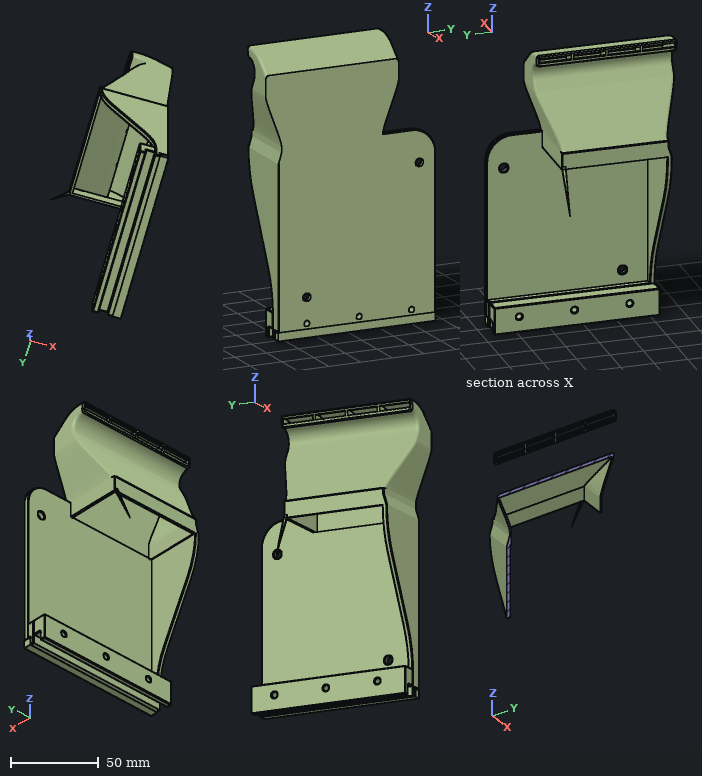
import cadquery as cq
import math


EDGE = 0.5

PLATE_LENGTH = 99.25
PLATE_THICKNESS = 3.6
PLATE_TOP = 116.0
PLATE_CORNER_RADIUS = 15.0
FOOT_LENGTH = 99.0
FOOT_DEPTH = 7.7
FOOT_BOTTOM = 1.0
FOOT_TOP = 16.5

FAN_HOLE_DIAMETER = 4.8
FAN_HOLE_SPACING = 71.0
FAN_HOLE_Y = 18.0
FAN_HOLE_Z = 25.0

RAIL_DEPTH = 9.3
RAIL_LIP = 3.6
RAIL_SLOT_TOP = 6.3
RAIL_HOLE_DIAMETER = 3.4
RAIL_HOLE_SPACING = 33.0
RAIL_HOLE_FIRST_Y = 18.0
RAIL_HOLE_Z = 9.5
RAIL_HOLE_COUNT = 3

BAR_DEPTH = 5.0
BAR_TOP = 6.2

WALL_THICKNESS = 3.0
WALL_CURVE_RADIUS = 60.0
WALL_CURVE_BOTTOM = 14.0

SHELF_DEPTH = 40.0
SHELF_BOTTOM = 106.0
FLARE_TOP = 112.5
NECK_START = 2.0
NECK_END = 66.0

NOZZLE_START = -8.0
NOZZLE_END = 76.0
NOZZLE_TOP = 171.0
NOZZLE_EDGE_RADIUS = 2.0
NECK_TOP = 147.1
NECK_CURVE_PULL = 5.0
NECK_TOP_X = -20.3
CROWN_START_X = -21.0
CROWN_RADIUS = 19.5
CROWN_ANGLE = math.radians(40)
HOOK_RADIUS = 7.1
HOOK_CENTRE_X = -23.2
HOOK_CENTRE_Z = 156.6
HOOK_START_ANGLE = math.radians(-27)
LIP_TOP_X = -24.9
LIP_BOTTOM_X = -24.0
LIP_CHAMFER = 0.8
LIP_CENTRE = (
    (LIP_TOP_X + LIP_BOTTOM_X) / 2,
    (NOZZLE_START + NOZZLE_END) / 2,
    (NOZZLE_TOP + HOOK_CENTRE_Z + HOOK_RADIUS) / 2,
)

DUCT_WALL = 1.5
SLOT_COUNT = 4
SLOT_BOTTOM = 166.0
SLOT_TOP = 169.0
DIVIDER_THICKNESS = 1.5
DIVIDER_BACK_X = -15.0
DIVIDER_BOTTOM = 153.5

BLADE_TIP = (-51.43, 64.8, 81.7)
BLADE_ROOT_X = -39.0
BLADE_ROOT_TOP = 109.9
BLADE_ROOT_BOTTOM = 108.2
BLADE_ROOT_WIDTH = 2.4


def block(x_range, y_range, z_range):
    """Box between two limits on each axis."""
    size = [high - low for low, high in (x_range, y_range, z_range)]
    corner = (x_range[0], y_range[0], z_range[0])
    return cq.Workplane("XY").box(*size, centered=False).translate(corner)


def extrude_along_y(profile, start, end):
    """Extrude an XZ profile from Y = start to Y = end."""
    return profile.extrude(-(end - start)).translate((0, start, 0))


def hole_along_x(diameter, depth, y, z):
    """Round cutter through a slab from X = -depth to X = 0, chamfered at the front mouth."""
    radius = diameter / 2
    overrun = 1.0
    shank = cq.Workplane("YZ", origin=(-depth - overrun, y, z)).circle(radius).extrude(depth + 2 * overrun)
    mouth = cq.Solid.makeCone(
        radius + EDGE, radius, EDGE, pnt=cq.Vector(-depth, y, z), dir=cq.Vector(1, 0, 0)
    )
    return shank.union(cq.Workplane(mouth))


def s_curve(sketch, start, end, radius):
    """Continue a sketch with arc, tangent line, arc; both ends run parallel to the second sketch axis."""
    side = math.copysign(1, end[0] - start[0])
    rise = math.copysign(1, end[1] - start[1])
    across = 2 * radius - abs(end[0] - start[0])
    along = abs(end[1] - start[1])
    line = math.sqrt(across**2 + along**2 - 4 * radius**2)
    angle = math.atan2(along, across) - math.atan2(line, 2 * radius)

    def arc_point(origin, turn, direction):
        shift = radius * (1 - math.cos(turn))
        return (
            origin[0] + direction * side * shift,
            origin[1] + direction * rise * radius * math.sin(turn),
        )

    return (
        sketch.threePointArc(arc_point(start, angle / 2, 1), arc_point(start, angle, 1))
        .lineTo(*arc_point(end, angle, -1))
        .threePointArc(arc_point(end, angle / 2, -1), end)
    )


def nozzle_profile(bottom):
    """XZ outline of the nozzle: sloping neck, hook, lip, crown and flat back."""

    def hook_point(angle):
        return (
            HOOK_CENTRE_X + HOOK_RADIUS * math.cos(angle),
            HOOK_CENTRE_Z + HOOK_RADIUS * math.sin(angle),
        )

    def crown_point(angle):
        return (
            CROWN_START_X + CROWN_RADIUS * math.sin(angle),
            NOZZLE_TOP - CROWN_RADIUS * (1 - math.cos(angle)),
        )

    hook_end_angle = math.pi / 2
    crown_end_x, crown_end_z = crown_point(CROWN_ANGLE)
    back_top = crown_end_z + crown_end_x * math.tan(CROWN_ANGLE)
    sketch = cq.Workplane("XZ").moveTo(0, bottom).lineTo(-SHELF_DEPTH, bottom)
    if bottom < PLATE_TOP:
        sketch = sketch.lineTo(-SHELF_DEPTH, PLATE_TOP)
    return (
        sketch.lineTo(NECK_TOP_X, NECK_TOP)
        .lineTo(*hook_point(HOOK_START_ANGLE))
        .threePointArc(hook_point((HOOK_START_ANGLE + hook_end_angle) / 2), hook_point(hook_end_angle))
        .lineTo(LIP_BOTTOM_X, HOOK_CENTRE_Z + HOOK_RADIUS)
        .lineTo(LIP_TOP_X, NOZZLE_TOP)
        .lineTo(CROWN_START_X, NOZZLE_TOP)
        .threePointArc(crown_point(CROWN_ANGLE / 2), crown_point(CROWN_ANGLE))
        .lineTo(0, back_top)
        .close()
    )


def neck_side(sketch, start, end):
    """Continue a YZ sketch with a smooth S that leaves and arrives vertically."""
    pull = math.copysign(NECK_CURVE_PULL, end[1] - start[1])
    return sketch.bezier([start, (start[0], start[1] + pull), (end[0], end[1] - pull), end])


def nozzle_front(bottom, inset):
    """Solid with the nozzle's YZ outline, moved in by the inset at both ends."""
    neck_start, neck_end = NECK_START + inset, NECK_END - inset
    full_start, full_end = NOZZLE_START + inset, NOZZLE_END - inset
    sketch = cq.Workplane("YZ").moveTo(neck_start, bottom).lineTo(neck_end, bottom)
    if bottom < PLATE_TOP:
        sketch = sketch.lineTo(neck_end, PLATE_TOP)
    sketch = neck_side(sketch, (neck_end, PLATE_TOP), (full_end, NECK_TOP))
    sketch = sketch.lineTo(full_end, NOZZLE_TOP).lineTo(full_start, NOZZLE_TOP).lineTo(full_start, NECK_TOP)
    sketch = neck_side(sketch, (full_start, NECK_TOP), (neck_start, PLATE_TOP))
    return sketch.close().extrude(-SHELF_DEPTH)


def is_rounded_edge(edge):
    """True for the edges that run along the neck, hook and crown at either side of the nozzle."""
    box = edge.BoundingBox()
    in_back_plane = box.xmin > -EDGE
    along_y = box.xlen < EDGE and box.zlen < EDGE
    across_side = box.zlen < EDGE and box.zmax < NECK_TOP + EDGE
    on_lip_face = box.xmax < LIP_BOTTOM_X + EDGE / 2 and box.zmin > HOOK_CENTRE_Z
    return not (in_back_plane or along_y or across_side or on_lip_face)


def make_nozzle():
    """Outer shape of the nozzle above the shelf, with rounded sides and a chamfered lip."""
    nozzle = extrude_along_y(nozzle_profile(PLATE_TOP), NOZZLE_START, NOZZLE_END)
    nozzle = nozzle.intersect(nozzle_front(PLATE_TOP, 0))
    rounded_edges = [edge for edge in nozzle.edges().vals() if is_rounded_edge(edge)]
    nozzle = nozzle.newObject(rounded_edges).fillet(NOZZLE_EDGE_RADIUS)
    lip_face = nozzle.faces(cq.selectors.NearestToPointSelector(LIP_CENTRE))
    return lip_face.edges().chamfer(LIP_CHAMFER)


def make_shelf():
    """Band under the nozzle that flares out to the side wall."""
    shelf = (
        cq.Workplane("YZ")
        .moveTo(0, SHELF_BOTTOM)
        .lineTo(NECK_END, SHELF_BOTTOM)
        .lineTo(NECK_END, PLATE_TOP)
        .lineTo(NECK_START, PLATE_TOP)
        .lineTo(NECK_START, FLARE_TOP)
        .close()
        .extrude(-SHELF_DEPTH)
    )
    return shelf.faces("<X").edges("not <Z").chamfer(EDGE)


def is_wall_front(edge):
    """True for the edges of the side wall's curved front."""
    box = edge.BoundingBox()
    return box.xmax < -FOOT_DEPTH + EDGE and box.zmin > WALL_CURVE_BOTTOM - EDGE


def make_side_wall():
    """Wall below the shelf whose front edge swings back to the foot in an S."""
    sketch = cq.Workplane("XZ").moveTo(0, SHELF_BOTTOM).lineTo(-SHELF_DEPTH, SHELF_BOTTOM)
    curve_start = (-SHELF_DEPTH, SHELF_BOTTOM)
    curve_end = (-FOOT_DEPTH, WALL_CURVE_BOTTOM)
    profile = (
        s_curve(sketch, curve_start, curve_end, WALL_CURVE_RADIUS)
        .lineTo(-FOOT_DEPTH, FOOT_BOTTOM)
        .lineTo(-BAR_DEPTH, FOOT_BOTTOM)
        .lineTo(-BAR_DEPTH, BAR_TOP)
        .lineTo(0, BAR_TOP)
        .close()
    )
    wall = extrude_along_y(profile, 0, WALL_THICKNESS)
    wall = wall.faces("<Y").edges("not >Z").chamfer(EDGE)
    front_edges = [edge for edge in wall.faces(">Y").edges().vals() if is_wall_front(edge)]
    return wall.newObject(front_edges).chamfer(EDGE)


def make_plate():
    """Fan plate with one rounded top corner and chamfered faces."""
    plate = block((-PLATE_THICKNESS, 0), (NECK_START, PLATE_LENGTH), (BAR_TOP, PLATE_TOP))
    plate = plate.edges("|X and >Y and >Z").fillet(PLATE_CORNER_RADIUS)
    free_edges = cq.selectors.BoxSelector(
        (-PLATE_THICKNESS - EDGE, NECK_END, FOOT_TOP), (EDGE, PLATE_LENGTH + EDGE, PLATE_TOP + EDGE)
    )
    return plate.faces("<X or >X").edges(free_edges).chamfer(EDGE)


def make_foot():
    """Thick strip at the bottom of the plate, rebated behind for the bar."""
    foot = block((-FOOT_DEPTH, 0), (EDGE, FOOT_LENGTH), (FOOT_BOTTOM, FOOT_TOP))
    foot = foot.cut(block((-BAR_DEPTH, 0), (0, FOOT_LENGTH), (FOOT_BOTTOM, BAR_TOP)))
    foot = foot.faces(">Y").chamfer(EDGE)
    return foot.edges("<X and >Z").chamfer(EDGE)


def make_passage():
    """Air space from the open shelf bottom up to the mouth slots, parted by dividers in the hook."""
    outline = nozzle_profile(SHELF_BOTTOM).offset2D(-DUCT_WALL)
    passage = extrude_along_y(outline, NOZZLE_START, NOZZLE_END)
    passage = passage.intersect(nozzle_front(SHELF_BOTTOM, DUCT_WALL))
    back, front = -DUCT_WALL, DUCT_WALL - SHELF_DEPTH
    passage = passage.union(
        block(
            (front, back),
            (NECK_START + DUCT_WALL, NECK_END - DUCT_WALL),
            (SHELF_BOTTOM, SHELF_BOTTOM + 2 * DUCT_WALL),
        )
    )
    inside_start, inside_end = NOZZLE_START + DUCT_WALL, NOZZLE_END - DUCT_WALL
    passage = passage.union(
        block((LIP_TOP_X, LIP_BOTTOM_X + 2 * DUCT_WALL), (inside_start, inside_end), (SLOT_BOTTOM, SLOT_TOP))
    )
    slot_pitch = (inside_end - inside_start + DIVIDER_THICKNESS) / SLOT_COUNT
    for index in range(1, SLOT_COUNT):
        divider_end = inside_start + index * slot_pitch
        passage = passage.cut(
            block(
                (LIP_TOP_X, DIVIDER_BACK_X),
                (divider_end - DIVIDER_THICKNESS, divider_end),
                (DIVIDER_BOTTOM, NOZZLE_TOP),
            )
        )
    return passage


def make_blade():
    """Thin triangular sliver tapering to a point below the shelf."""
    root_y = (NECK_END - BLADE_ROOT_WIDTH, NECK_END)
    corners = [
        cq.Vector(BLADE_ROOT_X, y, z) for z in (BLADE_ROOT_BOTTOM, BLADE_ROOT_TOP) for y in root_y
    ]
    low_start, low_end, high_start, high_end = corners
    tip = cq.Vector(*BLADE_TIP)
    outlines = [
        (low_start, low_end, high_end, high_start),
        (low_start, low_end, tip),
        (high_start, high_end, tip),
        (low_start, high_start, tip),
        (low_end, high_end, tip),
    ]
    faces = [cq.Face.makeFromWires(cq.Wire.makePolygon(list(points), close=True)) for points in outlines]
    return cq.Workplane(cq.Solid.makeSolid(cq.Shell.makeShell(faces)))


def rail_holes(depth):
    """Cutters for the row of rail screws, with the given distance from front face to back."""
    cutters = cq.Workplane()
    for index in range(RAIL_HOLE_COUNT):
        y = RAIL_HOLE_FIRST_Y + index * RAIL_HOLE_SPACING
        cutters = cutters.add(hole_along_x(RAIL_HOLE_DIAMETER, depth, y, RAIL_HOLE_Z))
    return cutters.combine()


def make_duct():
    """Nozzle, shelf, side wall, plate and foot in one piece."""
    duct = make_plate().union(make_foot()).union(make_side_wall())
    duct = duct.union(make_shelf()).union(make_nozzle())
    duct = duct.cut(make_passage()).union(make_blade())
    for step in (0, FAN_HOLE_SPACING):
        duct = duct.cut(hole_along_x(FAN_HOLE_DIAMETER, PLATE_THICKNESS, FAN_HOLE_Y + step, FAN_HOLE_Z + step))
    return duct.cut(rail_holes(FOOT_DEPTH))


def make_rail():
    """Clamp rail in front of the foot, with a lip hanging in front of a slot."""
    front = -FOOT_DEPTH - RAIL_DEPTH
    rail = block((front, -FOOT_DEPTH), (0, FOOT_LENGTH), (0, FOOT_TOP))
    rail = rail.cut(
        block((front + RAIL_LIP, -FOOT_DEPTH), (0, FOOT_LENGTH), (0, RAIL_SLOT_TOP))
    )
    rail = rail.edges().chamfer(EDGE)
    return rail.cut(rail_holes(FOOT_DEPTH + RAIL_DEPTH))


def make_bar():
    """Square bar lying in the rebate behind the foot."""
    bar = block((-BAR_DEPTH, 0), (0, FOOT_LENGTH), (FOOT_BOTTOM, BAR_TOP))
    return bar.faces("<Y").edges("<X or >Z").chamfer(EDGE)


duct = make_duct()
rail = make_rail()
bar = make_bar()

result = cq.Compound.makeCompound([duct.val(), rail.val(), bar.val()])